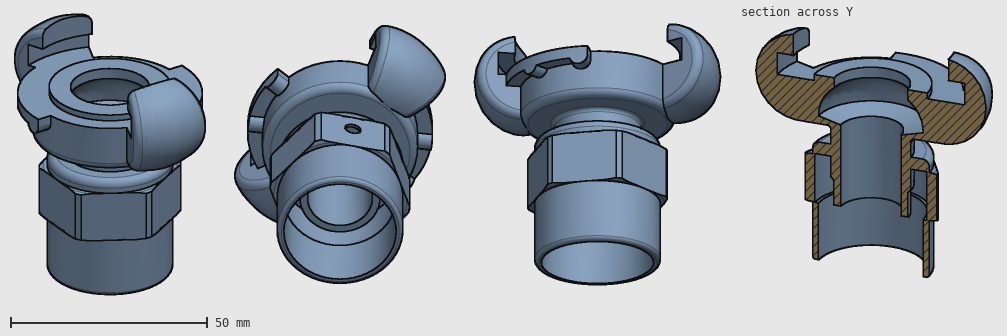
import cadquery as cq
import math

hex_bottom = 16.0
hex_top = 29.5
nut_top = 33.0
head_bottom = 38.0
flange_top = 50.0
seal_top = 51.65

sleeve_radius = 16.0
sleeve_edge_fillet = 1.0
nut_top_fillet = 2.0
hex_across_flats = 2 * sleeve_radius
hex_corner_diameter = 36.0
hex_chamfer_diameter = 34.0
hex_chamfer_angle = 15.0
pin_hole_diameter = 4.0
pin_hole_angle = 150.0
pin_hole_height = 24.1

nut_bore_diameter = 28.5
chamber_diameter = 30.5
stem_shoulder = 22.9
stem_step = 0.8

neck_diameter = 22.0
neck_fillet = 1.0
head_radius = 19.7
head_fillet = 2.0
seal_diameter = 31.0
through_bore_diameter = 16.5
seal_pocket_diameter = 28.5
seal_lip_diameter = 20.0
seal_lip_depth = 2.9
seal_pocket_depth = 11.35
pocket_floor_drop = 1.6

lip_radius = 23.5
lip_thickness = 3.0
lip_end_offset = 2.4
bump_radius = lip_end_offset
bump_axis_depth = 2.3
bump_axis_height = flange_top - bump_axis_depth
bump_spacing_angle = 35.0

claw_reach = 31.5
claw_radius = 12.0
claw_crown_radius = 22.05
claw_half_angle = 22.5
claw_wedge_apex = 1.65
claw_edge_fillet = 2.0
claw_tip_radius = 21.15
claw_slot_radius = 25.5
claw_slot_height = 5.9


def disc(diameter, bottom, top):
    """Cylinder on the part axis between two heights."""
    return cq.Workplane("XY").workplane(offset=bottom).circle(diameter / 2).extrude(top - bottom)


def half_turn(shape):
    """Copy turned half a revolution about the part axis."""
    return shape.rotate((0, 0, 0), (0, 0, 1), 180)


def make_hexagon():
    """Hexagon with flats on the Y sides, trimmed corners and shallow end chamfers."""
    corner_radius = hex_corner_diameter / 2
    chamfer_radius = hex_chamfer_diameter / 2
    drop = (corner_radius - chamfer_radius) * math.tan(math.radians(hex_chamfer_angle))
    blank = (
        cq.Workplane("XZ")
        .moveTo(0, hex_bottom)
        .lineTo(chamfer_radius, hex_bottom)
        .lineTo(corner_radius, hex_bottom + drop)
        .lineTo(corner_radius, hex_top - drop)
        .lineTo(chamfer_radius, hex_top)
        .lineTo(0, hex_top)
        .close()
        .revolve(360, (0, 0, 0), (0, 1, 0))
    )
    full_corner_diameter = hex_across_flats / math.cos(math.radians(30))
    prism = (
        cq.Workplane("XY")
        .workplane(offset=hex_bottom)
        .polygon(6, full_corner_diameter)
        .extrude(hex_top - hex_bottom)
    )
    return blank.intersect(prism)


def make_nut():
    """Hollow nut with a wider chamber inside the hexagon and one radial pin hole."""
    sleeve = disc(2 * sleeve_radius, 0, nut_top)
    sleeve = sleeve.faces("<Z").edges().fillet(sleeve_edge_fillet)
    sleeve = sleeve.faces(">Z").edges().fillet(nut_top_fillet)
    bore = disc(nut_bore_diameter, 0, hex_top)
    chamber = disc(chamber_diameter, hex_bottom, hex_top)
    pin_hole = (
        cq.Workplane("YZ")
        .center(0, pin_hole_height)
        .circle(pin_hole_diameter / 2)
        .extrude(hex_corner_diameter / 2)
        .rotate((0, 0, 0), (0, 0, 1), pin_hole_angle)
    )
    return sleeve.union(make_hexagon()).cut(bore).cut(chamber).cut(pin_hole)


def make_stem():
    """Stepped neck that runs from inside the nut up to a filleted flare under the head."""
    radius = neck_diameter / 2
    return (
        cq.Workplane("XZ")
        .moveTo(0, hex_bottom)
        .lineTo(radius - stem_step, hex_bottom)
        .lineTo(radius - stem_step, stem_shoulder)
        .lineTo(radius, stem_shoulder + stem_step)
        .lineTo(radius, head_bottom - neck_fillet)
        .radiusArc((radius + neck_fillet, head_bottom), neck_fillet)
        .lineTo(radius + neck_fillet, head_bottom + head_fillet)
        .lineTo(0, head_bottom + head_fillet)
        .close()
        .revolve(360, (0, 0, 0), (0, 1, 0))
    )


def make_lip():
    """One bayonet lip: from a square end near the -Y side round to the claw on the -X side."""
    ring = disc(2 * lip_radius, bump_axis_height - bump_radius, flange_top)
    plate = (
        cq.Workplane("XY")
        .box(lip_radius, lip_radius, lip_thickness, centered=False)
        .translate((-lip_radius, -lip_radius, flange_top - lip_thickness))
    )
    square_end = (
        cq.Workplane("XY")
        .box(lip_end_offset, lip_radius, bump_axis_depth, centered=False)
        .translate((0, -lip_radius, bump_axis_height))
    )
    bump = (
        cq.Workplane("XZ")
        .center(0, bump_axis_height)
        .circle(bump_radius)
        .extrude(lip_radius)
    )
    second_bump = bump.rotate((0, 0, 0), (0, 0, 1), -bump_spacing_angle)
    return ring.intersect(plate.union(square_end).union(bump).union(second_bump))


def make_claw():
    """Crowned hook on the -X side, open towards the axis above the flange."""
    centre_x = claw_radius - claw_reach
    half_width = claw_radius
    crown_drop = claw_crown_radius - math.sqrt(claw_crown_radius**2 - half_width**2)
    edge_radius = claw_radius - crown_drop
    crowned_wheel = (
        cq.Workplane("XY")
        .workplane(offset=flange_top)
        .moveTo(centre_x, -half_width)
        .lineTo(centre_x + edge_radius, -half_width)
        .threePointArc((centre_x + claw_radius, 0), (centre_x + edge_radius, half_width))
        .lineTo(centre_x, half_width)
        .close()
        .revolve(360, (centre_x, 0, 0), (centre_x, 1, 0))
    )
    wedge_end = claw_reach + claw_radius
    wedge_half_width = (wedge_end - claw_wedge_apex) * math.tan(math.radians(claw_half_angle))
    wedge = (
        cq.Workplane("XY")
        .moveTo(-claw_wedge_apex, 0)
        .lineTo(-wedge_end, wedge_half_width)
        .lineTo(-wedge_end, -wedge_half_width)
        .close()
        .extrude(2 * flange_top)
    )
    claw = crowned_wheel.intersect(wedge)
    claw = claw.faces("%Plane").edges().fillet(claw_edge_fillet)
    slot = disc(2 * claw_slot_radius, flange_top, flange_top + claw_slot_height)
    tip_trim = disc(2 * claw_tip_radius, flange_top, 2 * flange_top)
    return claw.cut(slot).cut(tip_trim)


def make_bore():
    """Through bore with an undercut seal pocket above it."""
    lip_edge_radius = seal_lip_diameter / 2
    pocket_radius = seal_pocket_diameter / 2
    bore_radius = through_bore_diameter / 2
    lip_edge = seal_top - seal_lip_depth
    floor = seal_top - seal_pocket_depth
    span = pocket_radius - lip_edge_radius
    wall_radius = (span**2 + (lip_edge - floor) ** 2) / (2 * span)
    return (
        cq.Workplane("XZ")
        .moveTo(0, 0)
        .lineTo(bore_radius, 0)
        .lineTo(bore_radius, floor - pocket_floor_drop)
        .lineTo(pocket_radius, floor)
        .radiusArc((lip_edge_radius, lip_edge), -wall_radius)
        .lineTo(lip_edge_radius, seal_top)
        .lineTo(0, seal_top)
        .close()
        .revolve(360, (0, 0, 0), (0, 1, 0))
    )


head = disc(2 * head_radius, head_bottom, flange_top).faces("<Z").edges().fillet(head_fillet)
seal = disc(seal_diameter, flange_top, seal_top)
lip = make_lip()
claw = make_claw()

result = head.union(seal).union(make_stem()).union(make_nut())
for feature in (lip, claw):
    result = result.union(feature).union(half_turn(feature))
result = result.cut(make_bore())